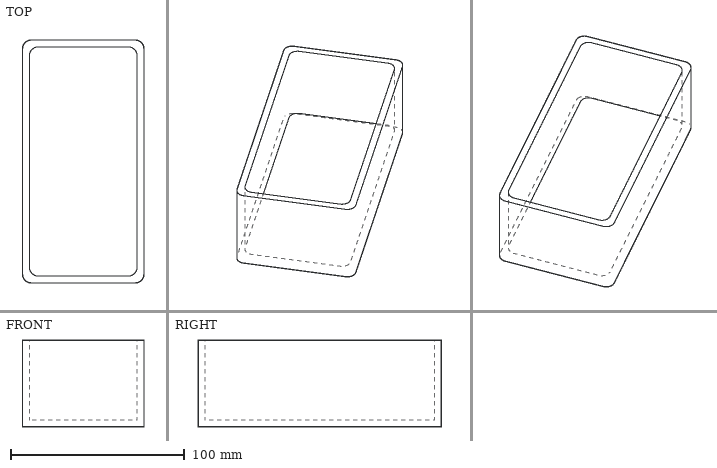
import cadquery as cq

width = 70.0
length = 140.0
height = 50.0

wall = 4.0
floor_thickness = 4.0
corner_radius = 5.0


def rounded_block(size_x, size_y, size_z):
    """Block standing on Z = 0, centred in X and Y, with rounded vertical edges."""
    block = cq.Workplane("XY").box(size_x, size_y, size_z, centered=(True, True, False))
    return block.edges("|Z").fillet(corner_radius)


outer_body = rounded_block(width, length, height)

cavity = rounded_block(width - 2 * wall, length - 2 * wall, height - floor_thickness)
cavity = cavity.translate((0, 0, floor_thickness))

result = outer_body.cut(cavity)